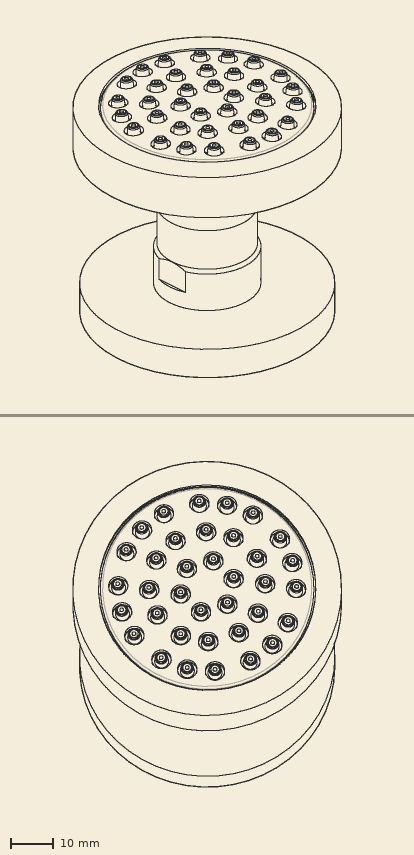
import cadquery as cq
import math

base_radius = 30.15
base_height = 7.9

collar_radius = 12.7
collar_shoulder_z = 18.0
flat_bottom_z = 12.25
across_flats = 23.9
flat_distance = across_flats / 2

body_diameter = 23.8
body_radius = body_diameter / 2
body_bottom_z = 18.85
body_shoulder_z = 29.5
body_top_z = 31.6
body_top_radius = 8.65
neck_base_radius = 6.7
neck_radius = 4.1
neck_bottom_z = 33.6
cup_bottom_z = 35.3
cup_radius = 11.0

head_radius = 31.75
head_bottom_z = 45.35
head_rim_z = 56.45
dome_rise = 1.6
dome_apex_z = head_rim_z + dome_rise
dome_radius = (head_radius**2 + dome_rise**2) / (2 * dome_rise)
dome_center_z = dome_apex_z - dome_radius

groove_outer_radius = 25.65
plate_radius = 25.2
plate_edge_round = 0.5
groove_depth = 1.0

pit_radius = 2.3
pit_depth = 1.65
nozzle_base_radius = 1.65
nozzle_shoulder_radius = 1.45
nozzle_shoulder_drop = 0.45
nozzle_ridge_radius = 1.3
nozzle_ridge_drop = 0.1
nozzle_top_radius = 1.0
nozzle_height = 1.5
nozzle_bore_radius = 0.45
nozzle_overlap = 0.3

inner_ring_radius = 6.55
inner_ring_step = 60
middle_ring_radius = 13.7
middle_quadrant = (14, 46, 74)
outer_ring_radius = 21.0
outer_quadrant = (18, 42, 60, 78)


def four_quadrants(angles):
    """Mirror first-quadrant angles into all four quadrants."""
    return [turn for a in angles for turn in (a, 180 - a, 180 + a, 360 - a)]


nozzle_rings = [
    (inner_ring_radius, range(0, 360, inner_ring_step)),
    (middle_ring_radius, four_quadrants(middle_quadrant)),
    (outer_ring_radius, [0, 180] + four_quadrants(outer_quadrant)),
]


def dome_z(radius):
    """Height of the domed face at a distance from the axis."""
    return dome_center_z + math.sqrt(dome_radius**2 - radius**2)


def make_turned_body():
    plate_edge_radius = plate_radius - plate_edge_round
    plate_edge_z = dome_z(plate_edge_radius)
    plate_wall_z = plate_edge_z - plate_edge_round
    groove_floor_z = plate_edge_z - groove_depth
    round_offset = plate_edge_round * math.sqrt(0.5)
    border_mid_radius = (head_radius + groove_outer_radius) / 2
    plate_mid_radius = plate_edge_radius / 2
    return (
        cq.Workplane("XZ")
        .lineTo(base_radius, 0)
        .lineTo(base_radius, base_height)
        .lineTo(collar_radius, base_height)
        .lineTo(collar_radius, collar_shoulder_z)
        .lineTo(body_radius, body_bottom_z)
        .lineTo(body_radius, body_shoulder_z)
        .lineTo(body_top_radius, body_top_z)
        .lineTo(neck_base_radius, body_top_z)
        .lineTo(neck_radius, neck_bottom_z)
        .lineTo(neck_radius, cup_bottom_z)
        .lineTo(cup_radius, cup_bottom_z)
        .lineTo(cup_radius, head_bottom_z)
        .lineTo(head_radius, head_bottom_z)
        .lineTo(head_radius, head_rim_z)
        .threePointArc(
            (border_mid_radius, dome_z(border_mid_radius)),
            (groove_outer_radius, dome_z(groove_outer_radius)),
        )
        .lineTo(groove_outer_radius, groove_floor_z)
        .lineTo(plate_radius, groove_floor_z)
        .lineTo(plate_radius, plate_wall_z)
        .threePointArc(
            (plate_edge_radius + round_offset, plate_wall_z + round_offset),
            (plate_edge_radius, plate_edge_z),
        )
        .threePointArc((plate_mid_radius, dome_z(plate_mid_radius)), (0, dome_apex_z))
        .close()
        .revolve(360, (0, 0), (0, 1))
    )


def make_flat_cutters():
    flat_height = body_bottom_z - flat_bottom_z
    cut_depth = collar_radius - flat_distance
    cutter = cq.Workplane("XY").box(
        2 * collar_radius, cut_depth, flat_height, centered=(True, False, False)
    ).translate((0, flat_distance, flat_bottom_z))
    return cutter.union(cutter.mirror("XZ"))


def make_pit():
    """Pit at the dome apex, open upward."""
    return (
        cq.Workplane("XY", origin=(0, 0, dome_apex_z - pit_depth))
        .circle(pit_radius)
        .extrude(pit_depth + nozzle_height)
    )


def make_nozzle():
    """Bored peg at the dome apex, rooted in the pit floor."""
    floor_z = dome_apex_z - pit_depth
    root_z = floor_z - nozzle_overlap
    top_z = dome_apex_z + nozzle_height
    return (
        cq.Workplane("XZ")
        .moveTo(0, root_z)
        .lineTo(nozzle_base_radius, root_z)
        .lineTo(nozzle_base_radius, floor_z)
        .lineTo(nozzle_shoulder_radius, top_z - nozzle_shoulder_drop)
        .lineTo(nozzle_ridge_radius, top_z - nozzle_ridge_drop)
        .lineTo(nozzle_top_radius, top_z)
        .lineTo(nozzle_bore_radius, top_z)
        .lineTo(nozzle_bore_radius, floor_z)
        .lineTo(0, floor_z)
        .close()
        .revolve(360, (0, 0), (0, 1))
    )


def spread_over_dome(feature):
    """Copies of an apex feature, each standing square to the dome at its nozzle place."""
    dome_center = cq.Vector(0, 0, dome_center_z)
    solid = feature.val()
    copies = []
    for ring_radius, angles in nozzle_rings:
        tilt = math.degrees(math.asin(ring_radius / dome_radius))
        tilted = solid.rotate(dome_center, dome_center + cq.Vector(0, 0.65, 0), tilt)
        for angle in angles:
            copies.append(tilted.rotate(cq.Vector(0, 0, 0), cq.Vector(0, 0, 1), angle))
    return cq.Workplane(cq.Compound.makeCompound(copies))


result = (
    make_turned_body()
    .cut(make_flat_cutters())
    .cut(spread_over_dome(make_pit()))
    .union(spread_over_dome(make_nozzle()))
)